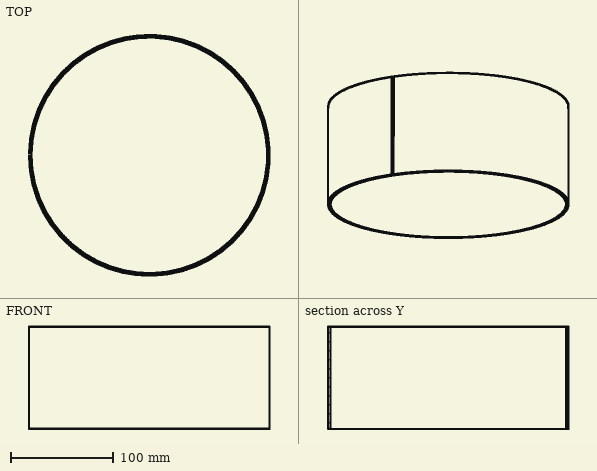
import cadquery as cq

outer_diameter = 235.0
height = 100.0
inner_diameter = 230.0
outer_chamfer = 0.52
inner_chamfer = 0.2
gap_angle = 1.0

outer_radius = outer_diameter / 2
inner_radius = inner_diameter / 2


def make_wall_section():
    """Wall cross-section on the XZ plane at -X, with chamfered rims."""
    return (
        cq.Workplane("XZ")
        .moveTo(-outer_radius + outer_chamfer, 0)
        .lineTo(-outer_radius, outer_chamfer)
        .lineTo(-outer_radius, height - outer_chamfer)
        .lineTo(-outer_radius + outer_chamfer, height)
        .lineTo(-inner_radius - inner_chamfer, height)
        .lineTo(-inner_radius, height - inner_chamfer)
        .lineTo(-inner_radius, inner_chamfer)
        .lineTo(-inner_radius - inner_chamfer, 0)
        .close()
    )


def make_band():
    """Section swept around Z, leaving the gap just on the +Y side of the XZ plane."""
    return make_wall_section().revolve(360 - gap_angle, (0, 0, 0), (0, 1, 0))


result = make_band()